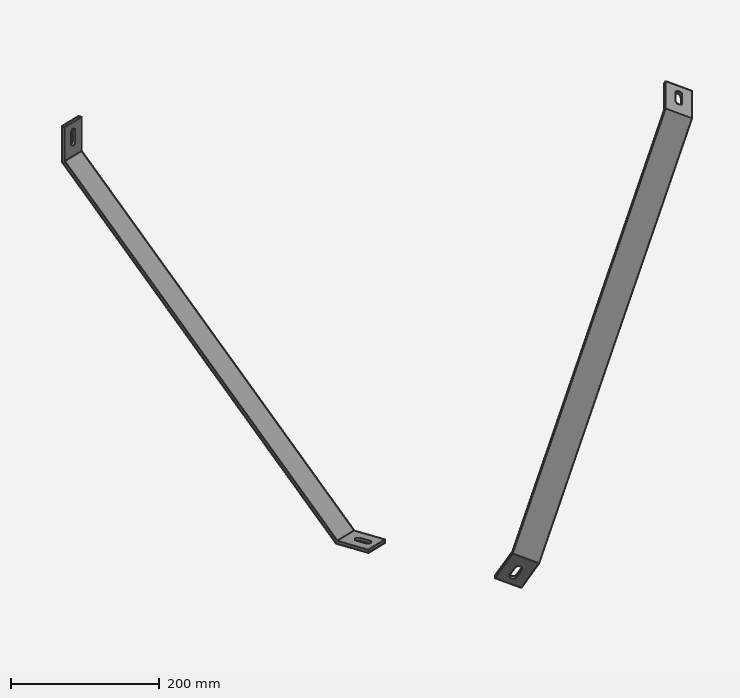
import cadquery as cq
import math

SPAN = 500.0
WIDTH = 40.0
THICKNESS = 5.0
TAB_LENGTH = 52.5
BEND_ANGLE = 45.0
SLOT_LENGTH = 25.0
SLOT_WIDTH = 10.0
SLOT_INSET = 22.5

inner_length = TAB_LENGTH - THICKNESS * math.tan(math.radians(BEND_ANGLE / 2))


def make_strip():
    """Bent strip: upright tab, diagonal and horizontal tab."""
    outer_corners = [(0, SPAN - TAB_LENGTH), (SPAN - TAB_LENGTH, 0)]
    inner_corners = [(SPAN - inner_length, THICKNESS), (THICKNESS, SPAN - inner_length)]
    outline = [
        (0, SPAN),
        *outer_corners,
        (SPAN, 0),
        (SPAN, THICKNESS),
        *inner_corners,
        (THICKNESS, SPAN),
    ]
    return cq.Workplane("XZ").polyline(outline).close().extrude(WIDTH / 2, both=True)


def slot_cutter(plane, centre, angle):
    """Slot through one tab, starting on the tab's outer face."""
    return (
        cq.Workplane(plane)
        .center(*centre)
        .slot2D(SLOT_LENGTH, SLOT_WIDTH, angle)
        .extrude(THICKNESS)
    )


slot_position = SPAN - SLOT_INSET
horizontal_tab_slot = slot_cutter("XY", (slot_position, 0), 0)
upright_tab_slot = slot_cutter("YZ", (0, slot_position), 90)

result = make_strip().cut(horizontal_tab_slot).cut(upright_tab_slot)